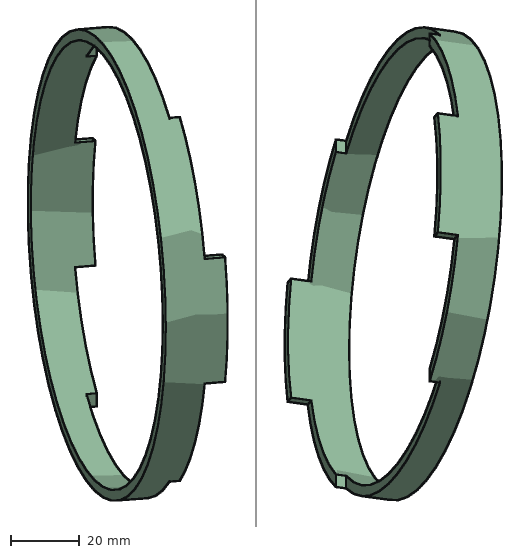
import cadquery as cq

outer_diameter = 137.4
wall = 3.2
inner_diameter = outer_diameter - 2 * wall

rim_depth = 9.5
shoulder_depth = 12.6
tab_depth = 18.8

shoulder_gap = 82.5
tab_height = 37.7


def ring(depth):
    """Plain ring from the front face at Y = 0 back to the given depth."""
    return (
        cq.Workplane("XZ")
        .circle(outer_diameter / 2)
        .circle(inner_diameter / 2)
        .extrude(-depth)
    )


def centered_block(width, height):
    """Block centred on the ring axis, as deep as the whole part."""
    return cq.Workplane("XZ").rect(width, height).extrude(-tab_depth)


rim = ring(rim_depth)

shoulders = ring(shoulder_depth).cut(centered_block(shoulder_gap, outer_diameter))

tabs = ring(tab_depth).intersect(centered_block(outer_diameter, tab_height))

result = rim.union(shoulders).union(tabs).translate((0, -tab_depth / 2, 0))